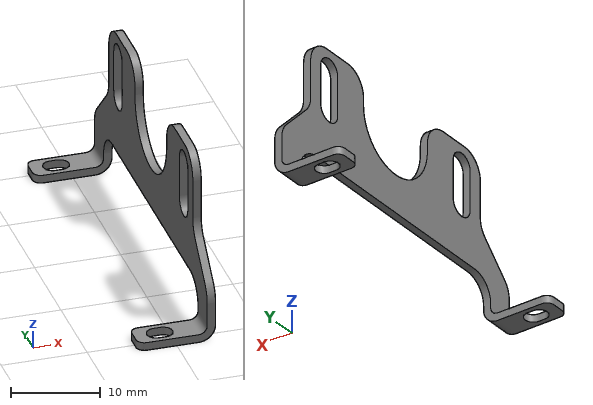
import cadquery as cq

length = 43.0
depth = 9.0
height = 20.5
thickness = 1.0
bend_inner_radius = 1.0
bend_outer_radius = bend_inner_radius + thickness

half_length = length / 2
leg_width = 3.53
leg_inner_y = half_length - leg_width
bridge_bottom_z = 5.55
tower_outer_y = 16.05
shoulder_bottom_z = 6.0
shoulder_top_z = shoulder_bottom_z + half_length - tower_outer_y
corner_radius = 3.0

saddle_radius = 6.0
saddle_center_z = 16.5

tower_slot_y = 12.5
tower_slot_z = 15.3
tower_slot_length = 8.2
tower_slot_width = 3.2

foot_corner_radius = 1.0
foot_hole_length = 3.0
foot_hole_width = 2.2
foot_hole_x = 3.0
foot_y = half_length - leg_width / 2


def make_angle_profile():
    """L-shaped sheet section extruded along the full length."""
    inner_x = depth - thickness
    section = (
        cq.Workplane("XZ", origin=(0, half_length, 0))
        .polyline([
            (0, 0), (depth, 0), (depth, height),
            (inner_x, height), (inner_x, thickness), (0, thickness),
        ])
        .close()
        .extrude(length)
    )
    outer_corner = cq.selectors.NearestToPointSelector((depth, 0, 0))
    section = section.edges(outer_corner).fillet(bend_outer_radius)
    inner_corner = cq.selectors.NearestToPointSelector((inner_x, 0, thickness))
    return section.edges(inner_corner).fillet(bend_inner_radius)


def make_plate_outline():
    """Rounded outline, seen along X, extruded through the full depth."""
    right_half = [
        (tower_outer_y, height),
        (tower_outer_y, shoulder_top_z),
        (half_length, shoulder_bottom_z),
        (half_length, 0),
        (leg_inner_y, 0),
        (leg_inner_y, bridge_bottom_z),
    ]
    left_half = [(-y, z) for y, z in reversed(right_half)]
    outline = cq.Workplane("YZ").polyline(right_half + left_half).close().extrude(depth)

    rounded_corners = [point for point in right_half + left_half if point[1] > 0]
    for y, z in rounded_corners:
        corner = cq.selectors.NearestToPointSelector((depth / 2, y, z))
        outline = outline.edges("|X").edges(corner).fillet(corner_radius)

    saddle = (
        cq.Workplane("YZ")
        .moveTo(-saddle_radius, saddle_center_z)
        .threePointArc((0, saddle_center_z - saddle_radius), (saddle_radius, saddle_center_z))
        .lineTo(saddle_radius, height - corner_radius)
        .radiusArc((saddle_radius + corner_radius, height), corner_radius)
        .lineTo(-saddle_radius - corner_radius, height)
        .radiusArc((-saddle_radius, height - corner_radius), corner_radius)
        .close()
        .extrude(depth)
    )
    return outline.cut(saddle)


def make_tower_slots():
    return (
        cq.Workplane("YZ")
        .pushPoints([(-tower_slot_y, tower_slot_z), (tower_slot_y, tower_slot_z)])
        .slot2D(tower_slot_length, tower_slot_width, 90)
        .extrude(depth)
    )


def make_foot_holes():
    return (
        cq.Workplane("XY")
        .pushPoints([(foot_hole_x, -foot_y), (foot_hole_x, foot_y)])
        .slot2D(foot_hole_length, foot_hole_width)
        .extrude(thickness)
    )


bracket = make_angle_profile().intersect(make_plate_outline())
bracket = bracket.edges("|Z and <X").fillet(foot_corner_radius)
result = bracket.cut(make_tower_slots()).cut(make_foot_holes())